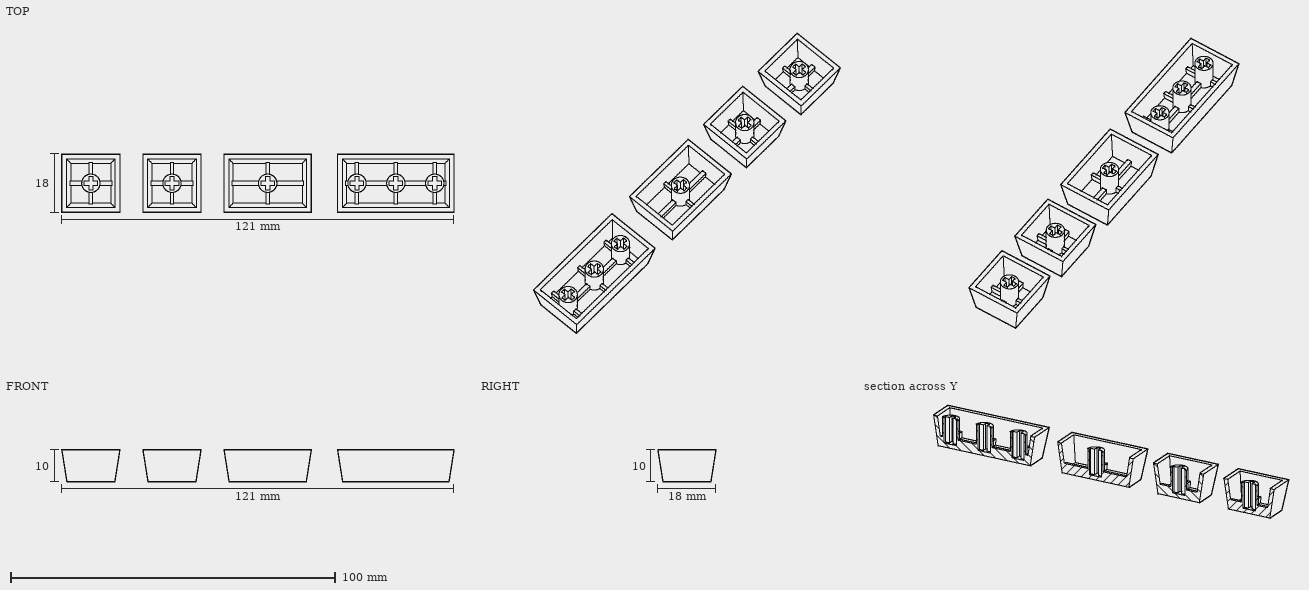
import math

import cadquery as cq

KEY_HEIGHT = 10.0
KEY_DEPTH = 18.0
DRAFT_ANGLE = 9.0
WALL = 1.5
FLOOR = 1.5

STEM_DIAMETER = 5.65
STEM_SPACING = 12.0
CROSS_SPAN = 4.2
CROSS_ARM_WIDTH = 1.3

RIB_HEIGHT = 1.95
RIB_ALONG_X_WIDTH = 1.45
RIB_ALONG_Y_WIDTH = 1.05

KEYS = [
    (0.0, 18.0, [0.0]),
    (25.0, 18.0, [0.0]),
    (50.0, 27.0, [0.0]),
    (85.0, 36.0, [-STEM_SPACING, 0.0, STEM_SPACING]),
]


def drafted_block(rim_width, rim_depth, bottom):
    """Block from the given level up to the rim, widening upward by the draft."""
    height = KEY_HEIGHT - bottom
    narrowing = 2 * height * math.tan(math.radians(DRAFT_ANGLE))
    return (
        cq.Workplane("XY")
        .workplane(offset=bottom)
        .rect(rim_width - narrowing, rim_depth - narrowing)
        .workplane(offset=height)
        .rect(rim_width, rim_depth)
        .loft(ruled=True)
    )


def box_on_floor(size_x, size_y, height):
    """Centred box standing on the inner floor."""
    return cq.Workplane("XY").workplane(offset=FLOOR).rect(size_x, size_y).extrude(height)


def make_ribs(width, stem_positions, cavity):
    """One long rib along X and a cross rib through each stem, reaching the walls."""
    ribs = box_on_floor(width, RIB_ALONG_X_WIDTH, RIB_HEIGHT)
    for position in stem_positions:
        cross_rib = box_on_floor(RIB_ALONG_Y_WIDTH, KEY_DEPTH, RIB_HEIGHT)
        ribs = ribs.union(cross_rib.translate((position, 0, 0)))
    return ribs.intersect(cavity)


def make_stem(height):
    return cq.Workplane("XY").workplane(offset=FLOOR).circle(STEM_DIAMETER / 2).extrude(height)


def make_cross_slot(height):
    arm_along_x = box_on_floor(CROSS_SPAN, CROSS_ARM_WIDTH, height)
    arm_along_y = box_on_floor(CROSS_ARM_WIDTH, CROSS_SPAN, height)
    return arm_along_x.union(arm_along_y)


def make_keycap(left, width, stem_positions):
    outside = drafted_block(width, KEY_DEPTH, 0.0)
    cavity = drafted_block(width - 2 * WALL, KEY_DEPTH - 2 * WALL, FLOOR)
    keycap = outside.cut(cavity).union(make_ribs(width, stem_positions, cavity))

    stem_height = KEY_HEIGHT - FLOOR
    for position in stem_positions:
        keycap = keycap.union(make_stem(stem_height).translate((position, 0, 0)))
        keycap = keycap.cut(make_cross_slot(stem_height).translate((position, 0, 0)))

    return keycap.translate((left + width / 2, KEY_DEPTH / 2, 0))


keycaps = [make_keycap(left, width, positions) for left, width, positions in KEYS]

result = cq.Compound.makeCompound([keycap.solids().val() for keycap in keycaps])